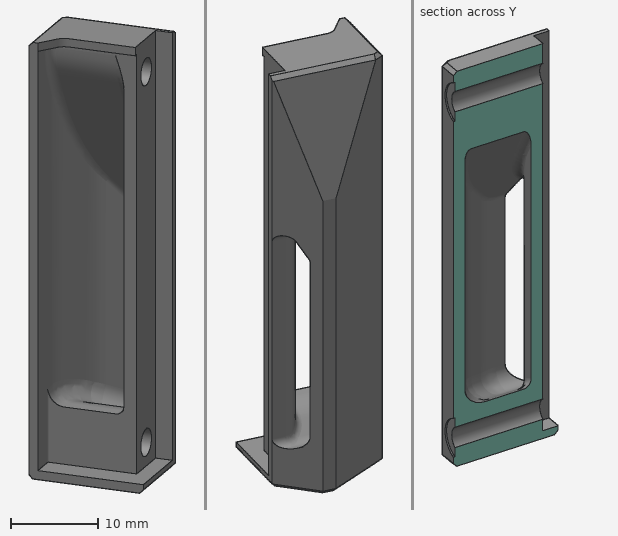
import cadquery as cq
import math

width = 14.1
depth = 14.0
height = 53.0

wall = 1.0
left_side_depth = 9.45
flange_front = 8.95
right_side_depth = flange_front + wall
ridge_left = 7.9
ridge_right = 9.55

bevel = 0.5
top_depth = right_side_depth
ridge_cut_angle = 15.0

left_wall = 1.1
floor_plate = 1.1
top_plate = 1.0
body_front = 3.15
body_right = 12.05
lip_front = 2.7
lip_corner_x = 3.15
lip_corner_radius = 1.6
corner_fillet = 0.15

cavity_right = 10.45
cavity_back = depth - wall
slope_angle = math.atan2(depth - left_side_depth, ridge_left)
cavity_left_radius = 7.95
cavity_back_radius = 4.65
exit_radius = 2.0

cavity_top = 51.5
cavity_bottom = 8.05
roof_radius = 7.8
roof_angle = math.radians(26.6)
floor_flat_end = 4.5
floor_radius = 6.0
floor_angle = math.radians(35)
small_fillet = 1.0
large_fillet = 2.0

hole_diameter = 3.3
recess_diameter = 5.5
recess_depth = 0.2
hole_y = 6.05
hole_heights = (4.0, 48.95)

clearance = 5.3


def on_circle(center, radius, angle):
    """Point of a circle at an angle in radians."""
    return (center[0] + radius * math.cos(angle), center[1] + radius * math.sin(angle))


def make_outer_body():
    """Five-sided prism with a bevelled foot and top and a sloped ridge end."""
    body = (
        cq.Workplane("XY")
        .polyline([
            (0, 0),
            (width, 0),
            (width, right_side_depth),
            (ridge_right, depth),
            (ridge_left, depth),
            (0, left_side_depth),
        ])
        .close()
        .extrude(height)
    )
    body = body.faces("<Z").edges("not <Y").chamfer(bevel)

    lean_drop = (depth - top_depth) / math.tan(math.radians(ridge_cut_angle))
    ridge_cut = (
        cq.Workplane("YZ")
        .polyline([(top_depth, height), (depth, height - lean_drop), (depth, height)])
        .close()
        .extrude(width)
    )
    body = body.cut(ridge_cut)
    return body.faces(">Z").edges("not (<Y or >X)").chamfer(bevel)


def make_front_recess():
    """Space in front of the body, and beside it in front of the flange."""
    lower = (
        cq.Workplane("XY", origin=(0, 0, floor_plate))
        .polyline([
            (left_wall, 0),
            (width, 0),
            (width, flange_front),
            (body_right, flange_front),
            (body_right, body_front),
            (left_wall, body_front),
        ])
        .close()
        .extrude(height - top_plate - floor_plate)
        .edges(cq.selectors.NearestToPointSelector((left_wall, body_front, height / 2)))
        .fillet(corner_fillet)
    )
    strip_height = height / 2 - top_plate
    left_strip = (
        cq.Workplane("XY", origin=(left_wall, 0, height / 2))
        .box(small_fillet, body_front, strip_height, centered=False)
    )
    lower = lower.cut(left_strip)
    above = (
        cq.Workplane("XY", origin=(0, 0, height - top_plate))
        .polyline([
            (left_wall, 0),
            (width, 0),
            (width, flange_front),
            (body_right, flange_front),
            (body_right, lip_front),
            (lip_corner_x, lip_front),
        ])
        .close()
        .extrude(top_plate)
        .edges(cq.selectors.NearestToPointSelector((lip_corner_x, lip_front, height - top_plate / 2)))
        .fillet(lip_corner_radius)
    )
    return lower.union(above)


def make_cavity():
    """Grip cavity: its plan shape crossed with its side profile, then rounded."""
    slope_offset = left_side_depth - wall / math.cos(slope_angle)

    def slope_y(x):
        return slope_offset + x * math.tan(slope_angle)

    normal_angle = slope_angle + math.pi / 2
    left_center_x = left_wall + cavity_left_radius
    left_center = (left_center_x, slope_y(left_center_x) - cavity_left_radius / math.cos(slope_angle))
    back_center_y = cavity_back - cavity_back_radius
    back_center_x = (
        back_center_y + cavity_back_radius / math.cos(slope_angle) - slope_offset
    ) / math.tan(slope_angle)
    back_center = (back_center_x, back_center_y)
    exit_center = (cavity_right + exit_radius, right_side_depth - exit_radius)
    exit_x = width + clearance

    plan = (
        cq.Workplane("XY")
        .moveTo(left_wall, 0)
        .lineTo(left_wall, left_center[1])
        .threePointArc(
            on_circle(left_center, cavity_left_radius, (math.pi + normal_angle) / 2),
            on_circle(left_center, cavity_left_radius, normal_angle),
        )
        .lineTo(*on_circle(back_center, cavity_back_radius, normal_angle))
        .threePointArc(
            on_circle(back_center, cavity_back_radius, (math.pi / 2 + normal_angle) / 2),
            (back_center_x, cavity_back),
        )
        .lineTo(exit_x, cavity_back)
        .lineTo(exit_x, right_side_depth)
        .lineTo(exit_center[0], right_side_depth)
        .threePointArc(
            on_circle(exit_center, exit_radius, 0.75 * math.pi),
            (cavity_right, exit_center[1]),
        )
        .lineTo(cavity_right, 0)
        .close()
        .extrude(height)
    )

    roof_center = (body_front + roof_radius, cavity_top)
    roof_bend = on_circle(roof_center, roof_radius, math.pi + roof_angle)
    back = (cavity_back + depth) / 2
    floor_center = (floor_flat_end, cavity_bottom - floor_radius)
    floor_bend = on_circle(floor_center, floor_radius, math.pi / 2 - floor_angle)
    profile = (
        cq.Workplane("YZ")
        .moveTo(0, cavity_bottom)
        .lineTo(0, height - top_plate)
        .lineTo(body_front, height - top_plate)
        .lineTo(body_front, cavity_top)
        .threePointArc(on_circle(roof_center, roof_radius, math.pi + roof_angle / 2), roof_bend)
        .lineTo(back, roof_bend[1] - (back - roof_bend[0]) / math.tan(roof_angle))
        .lineTo(back, floor_bend[1] - (back - floor_bend[0]) * math.tan(floor_angle))
        .lineTo(*floor_bend)
        .threePointArc(
            on_circle(floor_center, floor_radius, (math.pi - floor_angle) / 2),
            (floor_flat_end, cavity_bottom),
        )
        .close()
        .extrude(exit_x)
    )
    cavity = plan.intersect(profile)

    mid_floor_y = floor_flat_end / 2
    above_roof_z = (cavity_top + height - top_plate) / 2
    roundings = [
        ((left_wall, body_front, above_roof_z), small_fillet),
        ((cavity_right, body_front, above_roof_z), small_fillet),
        ((left_wall, mid_floor_y, cavity_bottom), large_fillet),
        ((cavity_right, mid_floor_y, cavity_bottom), small_fillet),
    ]
    for edge_point, radius in roundings:
        edge = cq.selectors.NearestToPointSelector(edge_point)
        cavity = cavity.edges(edge).fillet(radius)
    return cavity


def make_holes():
    """Through holes, each in a shallow round recess on the left side."""
    holes = cq.Workplane("YZ")
    for z in hole_heights:
        start = cq.Workplane("YZ", origin=(0, hole_y, z))
        holes = holes.add(start.circle(hole_diameter / 2).extrude(width))
        holes = holes.add(start.circle(recess_diameter / 2).extrude(recess_depth))
    return holes.combine()


result = make_outer_body().cut(make_front_recess()).cut(make_cavity()).cut(make_holes())